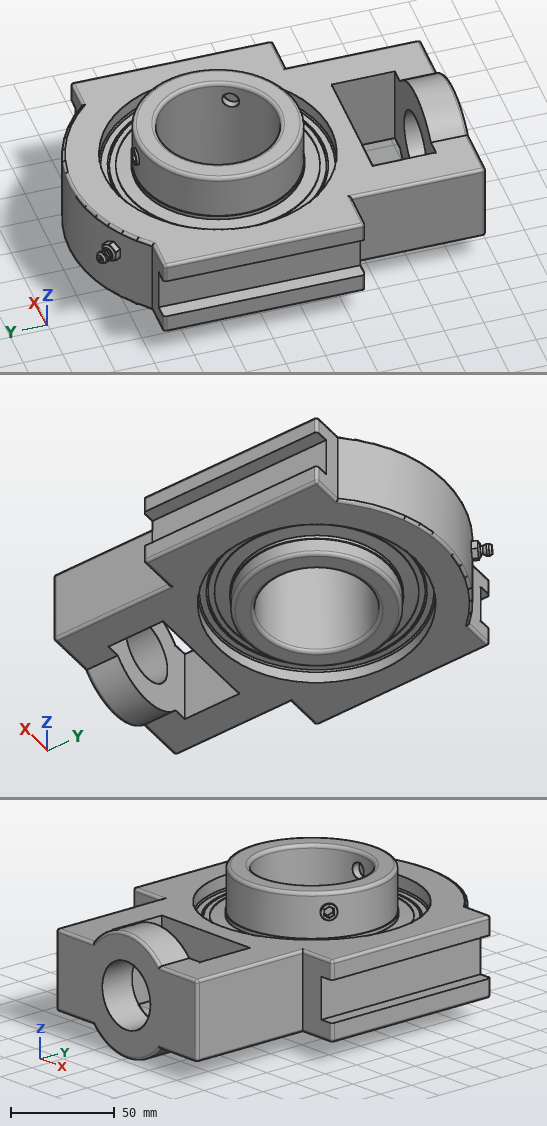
import cadquery as cq
import math


plate_thickness = 42.0
crown_radius = 75.0
overall_length = 194.0
wing_span = 145.0
wing_length = 102.0
leg_width = 102.5
edge_fillet = 1.5

groove_width = 22.0
groove_depth = 7.5

slot_width = 64.0
slot_back_y = -67.9
hub_wall = 19.0
hub_diameter = 64.0
hub_hole_diameter = 35.0

seat_diameter = 113.0
counterbore_diameter = 114.5
outer_ring_width = 26.8
outer_ring_bore = 104.5
outer_ring_chamfer = 0.87
inner_ring_diameter = 82.6
shaft_diameter = 60.0
inner_ring_top = 39.8
inner_ring_bottom = -25.5
inner_ring_fillet = 2.0

seal_rim_diameter = 98.4
seal_lip_diameter = 83.6
seal_thickness = 2.3
seal_step = 0.4
seal_cone_rise = 0.48
seal_lip_height = 2.0

screw_angles = (-30, 90)
screw_diameter = 8.3
screw_height = 29.7
screw_outer_radius = 42.5
screw_inner_radius = 34.0
socket_across_flats = 5.0
socket_depth = 3.9

nipple_angle = 120
nipple_height = 7.2
nipple_hex_flats = 8.7
nipple_hex_top = 78.2
nipple_shoulder_top = 79.2
nipple_shoulder_diameter = 6.2
nipple_neck_diameter = 4.3
nipple_head_start = 82.3
nipple_head_diameter = 6.0
nipple_head_rim = 1.2
nipple_head_undercut = 2.0
nipple_tip_radius = 84.8
nipple_tip_diameter = 4.5
nipple_stem_diameter = 6.0
nipple_stem_length = 7.8
nipple_port_diameter = 1.77
nipple_port_depth = 2.0

front_y = crown_radius - overall_length
wing_half = wing_length / 2
slot_front_y = front_y + hub_wall
counterbore_step = (counterbore_diameter - seat_diameter) / 2
ring_face_z = outer_ring_width / 2


def radial_plane(angle, radius, height):
    """Plane whose normal points outward from the shaft axis and whose X is +Z."""
    direction = (math.cos(math.radians(angle)), math.sin(math.radians(angle)), 0)
    origin = (radius * direction[0], radius * direction[1], height)
    return cq.Plane(origin=origin, xDir=(0, 0, 1), normal=direction)


def ring_of_revolution(profile):
    """Revolve (radius, z) points about the Z axis."""
    return cq.Workplane("XZ").polyline(profile).close().revolve(360, (0, 0, 0), (0, 1, 0))


def hexagon_diameter(across_flats):
    """Corner-to-corner diameter of a hexagon."""
    return across_flats / math.cos(math.pi / 6)


def centred_box(width, y_min, y_max, height):
    return cq.Workplane("XY").box(width, y_max - y_min, height).translate((0, (y_min + y_max) / 2, 0))



def housing_plate():
    """Wings, crown and leg in one outline, with all outer edges rounded."""
    wing_x = wing_span / 2
    leg_x = leg_width / 2
    crown_x = math.sqrt(crown_radius**2 - wing_half**2)
    plate = (
        cq.Workplane("XY")
        .workplane(offset=-plate_thickness / 2)
        .moveTo(-leg_x, front_y)
        .lineTo(leg_x, front_y)
        .lineTo(leg_x, -wing_half)
        .lineTo(wing_x, -wing_half)
        .lineTo(wing_x, wing_half)
        .lineTo(crown_x, wing_half)
        .threePointArc((0, crown_radius), (-crown_x, wing_half))
        .lineTo(-wing_x, wing_half)
        .lineTo(-wing_x, -wing_half)
        .lineTo(-leg_x, -wing_half)
        .close()
        .extrude(plate_thickness)
    )
    wing_corners = plate.edges("|Z").edges("<X or >X")
    leg_corners = plate.edges("|Z").edges("<Y")
    plate = plate.newObject(wing_corners.vals() + leg_corners.vals()).fillet(edge_fillet)
    return plate.faces("<Z or >Z").edges().fillet(edge_fillet)


def screw_hub():
    """Round hub for the take-up screw, rounded at its front edge."""
    hub = cq.Workplane("XZ", origin=(0, slot_front_y, 0)).circle(hub_diameter / 2).extrude(hub_wall)
    return hub.faces("<Y").edges().fillet(edge_fillet)


def hub_hole():
    return cq.Workplane("XZ", origin=(0, slot_front_y, 0)).circle(hub_hole_diameter / 2).extrude(hub_wall)


def guide_groove(side):
    groove_x = side * (wing_span - groove_depth) / 2
    return cq.Workplane("XY").box(groove_depth, wing_length, groove_width).translate((groove_x, 0, 0))


def bearing_bore():
    """Through bore with a wider counterbore that tapers down to the ring at each end."""
    seat_radius = seat_diameter / 2
    counterbore_radius = counterbore_diameter / 2
    taper_end_z = ring_face_z + counterbore_step
    face_z = plate_thickness / 2
    return ring_of_revolution([
        (0, -face_z),
        (counterbore_radius, -face_z),
        (counterbore_radius, -taper_end_z),
        (seat_radius, -ring_face_z),
        (seat_radius, ring_face_z),
        (counterbore_radius, taper_end_z),
        (counterbore_radius, face_z),
        (0, face_z),
    ])


def nipple_stem():
    stem_end = crown_radius - nipple_stem_length
    plane = radial_plane(nipple_angle, stem_end, nipple_height)
    return cq.Workplane(plane).circle(nipple_stem_diameter / 2).extrude(nipple_stem_length)


def make_housing():
    slot = centred_box(slot_width, slot_front_y, slot_back_y, plate_thickness)
    housing = housing_plate().union(screw_hub()).cut(slot).cut(hub_hole())
    for side in (-1, 1):
        housing = housing.cut(guide_groove(side))
    return housing.cut(bearing_bore()).cut(nipple_stem())



def make_outer_ring():
    ring = (
        cq.Workplane("XY")
        .workplane(offset=-ring_face_z)
        .circle(seat_diameter / 2)
        .circle(outer_ring_bore / 2)
        .extrude(outer_ring_width)
    )
    return ring.edges(cq.selectors.RadiusNthSelector(0)).chamfer(outer_ring_chamfer)


def make_inner_ring():
    ring = (
        cq.Workplane("XY")
        .workplane(offset=inner_ring_bottom)
        .circle(inner_ring_diameter / 2)
        .circle(shaft_diameter / 2)
        .extrude(inner_ring_top - inner_ring_bottom)
        .faces("<Z or >Z")
        .edges()
        .fillet(inner_ring_fillet)
    )
    for angle in screw_angles:
        plane = radial_plane(angle, 0, screw_height)
        ring = ring.cut(cq.Workplane(plane).circle(screw_diameter / 2).extrude(inner_ring_diameter))
    return ring



def make_seal(side):
    """Seal on the +Z or -Z side: flat rim, small step, shallow cone and a lip around the inner ring."""
    inside_z = ring_face_z - seal_thickness
    cone_base_z = ring_face_z + seal_step
    cone_top_z = cone_base_z + seal_cone_rise
    lip_top_z = cone_top_z + seal_lip_height
    profile = [
        (inner_ring_diameter / 2, inside_z),
        (outer_ring_bore / 2, inside_z),
        (outer_ring_bore / 2, ring_face_z),
        (seal_rim_diameter / 2, ring_face_z),
        (seal_rim_diameter / 2, cone_base_z),
        (seal_lip_diameter / 2, cone_top_z),
        (seal_lip_diameter / 2, lip_top_z),
        (inner_ring_diameter / 2, lip_top_z),
    ]
    return ring_of_revolution([(radius, side * z) for radius, z in profile])



def make_set_screw(angle):
    """Plain set screw standing slightly proud of the inner ring, with a hexagon socket."""
    screw = (
        cq.Workplane(radial_plane(angle, screw_inner_radius, screw_height))
        .circle(screw_diameter / 2)
        .extrude(screw_outer_radius - screw_inner_radius)
    )
    socket = (
        cq.Workplane(radial_plane(angle, screw_outer_radius - socket_depth, screw_height))
        .polygon(6, hexagon_diameter(socket_across_flats))
        .extrude(socket_depth)
    )
    return screw.cut(socket)



def nipple_top():
    """Turned part above the hexagon: shoulder cone, neck and head."""
    plane = radial_plane(nipple_angle, 0, nipple_height)
    profile = [
        (0, nipple_hex_top),
        (nipple_hex_flats / 2, nipple_hex_top),
        (nipple_shoulder_diameter / 2, nipple_shoulder_top),
        (nipple_neck_diameter / 2, nipple_shoulder_top),
        (nipple_neck_diameter / 2, nipple_head_start - nipple_head_undercut),
        (nipple_head_diameter / 2, nipple_head_start),
        (nipple_head_diameter / 2, nipple_head_start + nipple_head_rim),
        (nipple_tip_diameter / 2, nipple_tip_radius),
        (0, nipple_tip_radius),
    ]
    side_plane = cq.Plane(origin=plane.origin, xDir=plane.xDir, normal=-plane.yDir)
    return cq.Workplane(side_plane).polyline(profile).close().revolve(360, (0, 0, 0), (0, 1, 0))


def make_nipple():
    """Hexagon seated on the crown, stem inside the housing, head with a grease port."""
    hex_base = math.sqrt(crown_radius**2 - (nipple_hex_flats / 2) ** 2)
    hexagon = (
        cq.Workplane(radial_plane(nipple_angle, hex_base, nipple_height))
        .polygon(6, hexagon_diameter(nipple_hex_flats))
        .extrude(nipple_hex_top - hex_base)
        .cut(cq.Workplane("XY").circle(crown_radius).extrude(plate_thickness, both=True))
    )
    port = (
        cq.Workplane(radial_plane(nipple_angle, nipple_tip_radius - nipple_port_depth, nipple_height))
        .circle(nipple_port_diameter / 2)
        .extrude(nipple_port_depth)
    )
    return hexagon.union(nipple_stem()).union(nipple_top()).cut(port)


housing = make_housing()
outer_ring = make_outer_ring()
inner_ring = make_inner_ring()
seals = [make_seal(side).val() for side in (-1, 1)]
set_screws = [make_set_screw(angle).val() for angle in screw_angles]
nipple = make_nipple()

result = cq.Compound.makeCompound([
    housing.val(),
    outer_ring.val(),
    inner_ring.val(),
    *seals,
    *set_screws,
    nipple.val(),
])